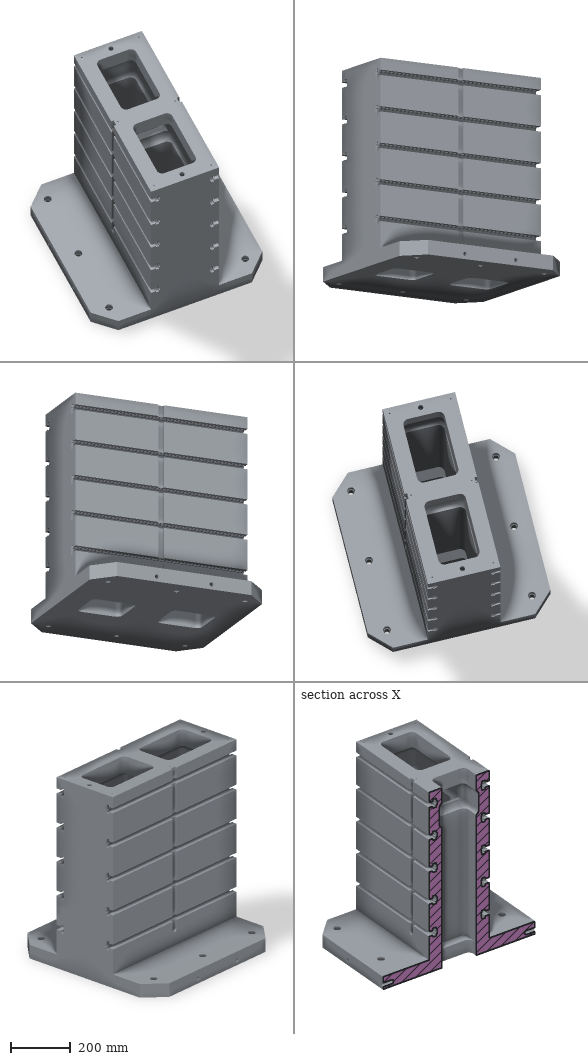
import cadquery as cq
import math

BASE_SIZE = 630.0
BASE_THICKNESS = 50.0
BASE_CORNER_CHAMFER = 70.0
BOLT_PITCH = 250.0
BOLT_DIAMETER = 18.0
COUNTERBORE_DIAMETER = 26.0
COUNTERBORE_DEPTH = 18.0

DRILL_POINT_ANGLE = 118.0
SIDE_HOLE_DIAMETER = 14.0
SIDE_HOLE_DEPTH = 40.0
SIDE_HOLE_SPACING = 200.0
SIDE_HOLE_HEIGHT = 18.0
LIFTING_HOLE_DIAMETER = 17.5
LIFTING_HOLE_DEPTH = 40.0
LIFTING_HOLE_SPACING = 580.0

TOTAL_HEIGHT = 700.0
TOWER_DEPTH = 250.0

PIN_HOLE_DIAMETER = 5.0
PIN_HOLE_DEPTH = 10.0
PIN_HOLE_EDGE = 20.0

SLOT_COUNT = 5
SLOT_PITCH = 125.0
TOP_SLOT_DROP = 50.0
SLOT_MOUTH_WIDTH = 18.0
SLOT_MOUTH_DEPTH = 15.0
SLOT_NECK_WIDTH = 16.0
SLOT_HEAD_WIDTH = 32.0
SLOT_HEAD_START = 18.0
SLOT_HEAD_END = 30.0
SLOT_DEPTH = 33.0

GROOVE_WIDTH = 20.0
GROOVE_DEPTH = 9.0
GROOVE_BOTTOM = 100.0

CORNER_RADIUS = 20.0
OPENING_LENGTH = 228.0
OPENING_WIDTH = 142.0
OPENING_CENTER_X = 147.5
CAVITY_TOP = 641.0
CAVITY_FLOOR = 543.0
CAVITY_UNDERCUT = 10.0
WEB_THICKNESS = 11.0
PASSAGE_WIDTH = 149.0
OUTLET_LENGTH = 160.0
OUTLET_WIDTH = 140.0
OUTLET_CENTER_X = 146.0

half_base = BASE_SIZE / 2
half_tower = TOWER_DEPTH / 2
cavity_end = OPENING_CENTER_X + OPENING_LENGTH / 2 + CAVITY_UNDERCUT
cavity_width = OPENING_WIDTH + 2 * CAVITY_UNDERCUT
SIGNS = (-1, 1)


def block(x_range, y_range, z_range):
    """Box between the given limits."""
    (x0, x1), (y0, y1), (z0, z1) = x_range, y_range, z_range
    return cq.Workplane("XY").box(x1 - x0, y1 - y0, z1 - z0, centered=False).translate((x0, y0, z0))


def rounded_prism(length, width, center_x, z_range):
    """Vertical prism with rounded corners."""
    x_range = (center_x - length / 2, center_x + length / 2)
    prism = block(x_range, (-width / 2, width / 2), z_range)
    return prism.edges("|Z").fillet(CORNER_RADIUS)


def drilled_hole(diameter, depth, entry, direction):
    """Blind hole with a conical drill point."""
    radius = diameter / 2
    point = radius / math.tan(math.radians(DRILL_POINT_ANGLE / 2))
    start = cq.Vector(*entry)
    axis = cq.Vector(*direction)
    bore = cq.Solid.makeCylinder(radius, depth, start, axis)
    cone = cq.Solid.makeCone(radius, 0, point, start + axis * depth, axis)
    return cq.Workplane(obj=bore).union(cq.Workplane(obj=cone))


def base_plate():
    """Square plate with chamfered corners and counterbored bolt holes."""
    plate = cq.Workplane("XY").rect(BASE_SIZE, BASE_SIZE).extrude(BASE_THICKNESS)
    plate = plate.edges("|Z").chamfer(BASE_CORNER_CHAMFER)
    bolt_points = [(i * BOLT_PITCH, j * BOLT_PITCH) for i in (-1, 0, 1) for j in SIGNS]
    return (
        plate.faces(">Z").workplane(origin=(0, 0, 0)).pushPoints(bolt_points)
        .cboreHole(BOLT_DIAMETER, COUNTERBORE_DIAMETER, COUNTERBORE_DEPTH)
    )


def tower():
    """Solid column standing on the base plate."""
    return block((-half_base, half_base), (-half_tower, half_tower), (BASE_THICKNESS, TOTAL_HEIGHT))


def t_slot(side, height):
    """T-slot along X: a guiding mouth, a slightly narrower neck running past the head, and the head."""
    x_range = (-half_base, half_base)

    def layer(width, start_depth, end_depth):
        y_range = sorted((side * (half_tower - start_depth), side * (half_tower - end_depth)))
        return block(x_range, y_range, (height - width / 2, height + width / 2))

    mouth = layer(SLOT_MOUTH_WIDTH, 0, SLOT_MOUTH_DEPTH)
    neck = layer(SLOT_NECK_WIDTH, 0, SLOT_DEPTH)
    head = layer(SLOT_HEAD_WIDTH, SLOT_HEAD_START, SLOT_HEAD_END)
    return mouth.union(neck).union(head)


def vertical_groove(side):
    """Shallow groove down the middle of a slotted face, with a round lower end."""
    radius = GROOVE_WIDTH / 2
    arc_z = GROOVE_BOTTOM + radius
    profile = (
        cq.Workplane("XZ", origin=(0, side * half_tower, 0))
        .moveTo(-radius, TOTAL_HEIGHT).lineTo(-radius, arc_z)
        .threePointArc((0, GROOVE_BOTTOM), (radius, arc_z))
        .lineTo(radius, TOTAL_HEIGHT).close()
    )
    return profile.extrude(side * GROOVE_DEPTH)


def chamber(side):
    """Vertical shaft down to the base, with a rounded undercut cavity near the top and a smaller outlet."""
    shaft = rounded_prism(
        OPENING_LENGTH, OPENING_WIDTH, side * OPENING_CENTER_X, (BASE_THICKNESS, TOTAL_HEIGHT)
    )
    cavity_x = sorted((side * WEB_THICKNESS / 2, side * cavity_end))
    cavity_y = (-cavity_width / 2, cavity_width / 2)
    cavity = block(cavity_x, cavity_y, (CAVITY_FLOOR, CAVITY_TOP)).edges().fillet(CORNER_RADIUS)
    outlet = rounded_prism(OUTLET_LENGTH, OUTLET_WIDTH, side * OUTLET_CENTER_X, (0, BASE_THICKNESS))
    return shaft.union(cavity).union(outlet)


def web_passage():
    """Window through the web between the two cavities."""
    reach = WEB_THICKNESS / 2 + CORNER_RADIUS
    return block(
        (-reach, reach),
        (-PASSAGE_WIDTH / 2, PASSAGE_WIDTH / 2),
        (CAVITY_FLOOR + CORNER_RADIUS, CAVITY_TOP - CORNER_RADIUS),
    )


def pin_holes():
    """Small blind holes along both long edges of the tower top."""
    pin_x = half_base - PIN_HOLE_EDGE
    pin_y = half_tower - PIN_HOLE_EDGE
    points = [(i * pin_x, j * pin_y) for i in (-1, 0, 1) for j in SIGNS]
    return (
        cq.Workplane("XY", origin=(0, 0, TOTAL_HEIGHT)).pushPoints(points)
        .circle(PIN_HOLE_DIAMETER / 2).extrude(-PIN_HOLE_DEPTH)
    )


def lifting_hole(side):
    """Drilled hole in the tower top near one end."""
    entry = (side * LIFTING_HOLE_SPACING / 2, 0, TOTAL_HEIGHT)
    return drilled_hole(LIFTING_HOLE_DIAMETER, LIFTING_HOLE_DEPTH, entry, (0, 0, -1))


def base_side_hole(side, face):
    """Drilled hole in the front (-1) or rear (+1) edge of the base plate."""
    entry = (side * SIDE_HOLE_SPACING / 2, face * half_base, SIDE_HOLE_HEIGHT)
    return drilled_hole(SIDE_HOLE_DIAMETER, SIDE_HOLE_DEPTH, entry, (0, -face, 0))


result = base_plate().union(tower()).cut(web_passage()).cut(pin_holes())

for side in SIGNS:
    result = result.cut(chamber(side))
    result = result.cut(vertical_groove(side))
    result = result.cut(lifting_hole(side))
    for row in range(SLOT_COUNT):
        slot_height = TOTAL_HEIGHT - TOP_SLOT_DROP - row * SLOT_PITCH
        result = result.cut(t_slot(side, slot_height))
    for face in SIGNS:
        result = result.cut(base_side_hole(side, face))